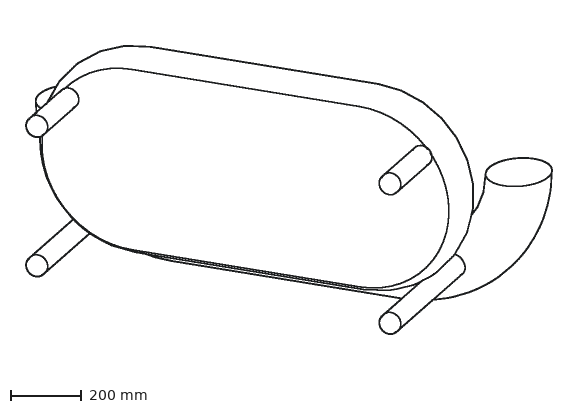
import cadquery as cq
import math

overall_width = 1566.0
overall_length_y = 695.0
half_straight = 350.0

section_width = 182.0
section_depth = 220.0
semi_width = section_width / 2
semi_depth = section_depth / 2

back_outer_radius = overall_width / 2 - half_straight
back_center_radius = back_outer_radius - semi_width
back_center_y = overall_length_y - semi_depth

seat_outer_radius = 305.0
seat_bottom_y = 240.0
seat_top_y = 421.0
seat_widest_y = 321.0
seat_rim_center_radius = seat_outer_radius - semi_width

leg_radius = 30.5
leg_x = 543.0
front_leg_z = 157.0
rear_leg_z = -270.0
foot_height = 17.0
foot_edge_fillet = 5.0


def leg_rod(x, z, y_start, y_end):
    """Round rod parallel to Y."""
    rod = cq.Workplane("XZ", origin=(x, y_start, z)).circle(leg_radius)
    return rod.extrude(-(y_end - y_start))


def make_backrest_with_rear_legs():
    """Half-oval elliptical tube, in one piece with the two rear legs that run into it."""
    tube = (
        cq.Workplane("YZ", origin=(-half_straight, back_center_y, -back_center_radius))
        .ellipse(semi_depth, semi_width)
        .extrude(2 * half_straight)
    )
    for side in (-1, 1):
        bend = (
            cq.Workplane("XY", origin=(side * half_straight, back_center_y, 0))
            .center(side * back_center_radius, 0)
            .ellipse(semi_width, semi_depth)
            .revolve(90, (-side * back_center_radius, 0), (-side * back_center_radius, side))
        )
        tube = tube.union(bend)
    for side in (-1, 1):
        tube = tube.union(leg_rod(side * leg_x, rear_leg_z, foot_height, back_center_y))
    return tube


def rim_angle(y):
    """Ellipse parameter, in degrees, at which the seat rim reaches height y."""
    return math.degrees(math.asin((y - seat_widest_y) / semi_depth))


def seat_half_section(side):
    """Half section from the seat's mid-line to its rim, at one end of the straight stretch."""
    bottom_angle = rim_angle(seat_bottom_y)
    top_angle = rim_angle(seat_top_y)
    bottom_radius = seat_rim_center_radius + semi_width * math.cos(math.radians(bottom_angle))
    plane = cq.Plane(origin=(side * half_straight, 0, 0), xDir=(0, 0, -side), normal=(side, 0, 0))
    return (
        cq.Workplane(plane)
        .moveTo(0, seat_bottom_y)
        .lineTo(bottom_radius, seat_bottom_y)
        .ellipseArc(semi_width, semi_depth, bottom_angle, top_angle, startAtCurrent=True)
        .lineTo(0, seat_top_y)
        .close()
    )


def make_seat():
    """Oval cushion with an elliptical rim, notched where the rear legs pass."""
    seat = cq.Workplane("XY")
    for side in (-1, 1):
        straight_half = seat_half_section(side).extrude(-2 * half_straight)
        round_end = seat_half_section(side).revolve(180, (0, 0), (0, -1))
        seat = seat.union(straight_half).union(round_end)

    for side in (-1, 1):
        seat = seat.cut(leg_rod(side * leg_x, rear_leg_z, foot_height, back_center_y))
    return seat


def make_front_leg(x):
    """Leg standing between its foot and the flat underside of the seat."""
    return leg_rod(x, front_leg_z, foot_height, seat_bottom_y)


def make_foot(x, z):
    """Short glide under a leg, with its floor edge rounded."""
    return leg_rod(x, z, 0, foot_height).faces("<Y").edges().fillet(foot_edge_fillet)


backrest_with_rear_legs = make_backrest_with_rear_legs()
seat = make_seat()
front_legs = [make_front_leg(side * leg_x) for side in (-1, 1)]
feet = [make_foot(side * leg_x, z) for side in (-1, 1) for z in (front_leg_z, rear_leg_z)]

result = cq.Compound.makeCompound([
    backrest_with_rear_legs.val(),
    seat.val(),
    *[leg.val() for leg in front_legs],
    *[foot.val() for foot in feet],
])